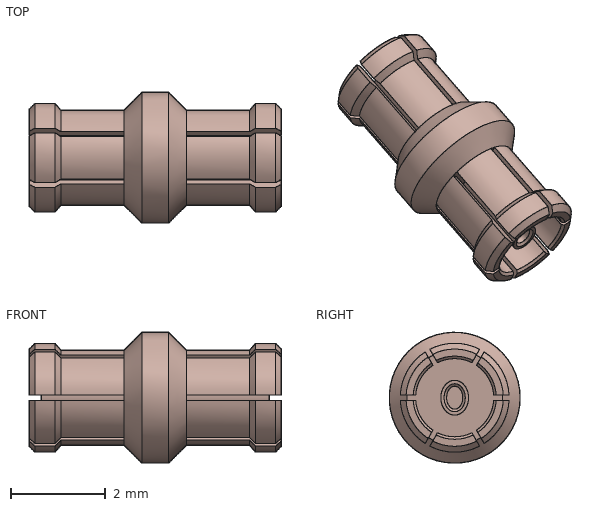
import cadquery as cq

total_length = 5.33
half_length = total_length / 2
collar_radius = 2.77 / 2
collar_half_width = 0.28

barrel_radius = 1.01
bore_radius = 0.825
bore_chamfer = 0.055
collar_root = collar_half_width + collar_radius - barrel_radius

head_radius = 1.15
head_length = 0.67
head_nose = 0.12
head_back = 0.13

slot_width = 0.11
finger_count = 6

pin_recess = 0.25
pin_width = 0.585
pin_height = 0.735
pin_hole_width = 0.34
pin_hole_height = 0.485
pin_hole_depth = 1.065
countersink = 0.055

socket_depth = half_length - collar_root
pin_tip = half_length - pin_recess


def make_body():
    """Revolve the solid outer profile about X."""
    right_half = [
        (collar_half_width, collar_radius),
        (collar_root, barrel_radius),
        (half_length - head_length, barrel_radius),
        (half_length - head_length + head_back, head_radius),
        (half_length - head_nose, head_radius),
        (half_length, head_radius - head_nose),
    ]
    left_half = [(-x, r) for x, r in reversed(right_half)]
    outline = [(-half_length, 0)] + left_half + right_half + [(half_length, 0)]
    return cq.Workplane("XY").polyline(outline).close().revolve(360, (0, 0, 0), (1, 0, 0))


def make_bore():
    """Blind bore of the +X socket with a chamfered mouth."""
    outline = [
        (collar_root, 0),
        (collar_root, bore_radius),
        (half_length - bore_chamfer, bore_radius),
        (half_length, bore_radius + bore_chamfer),
        (half_length, 0),
    ]
    return cq.Workplane("XY").polyline(outline).close().revolve(360, (0, 0, 0), (1, 0, 0))


def make_slots():
    """Slots of the +X socket; each one crosses the axis and cuts two opposite gaps."""
    blade = cq.Workplane("XY").box(socket_depth, 2 * collar_radius, slot_width)
    blade = blade.translate((collar_root + socket_depth / 2, 0, 0))
    slots = blade
    for i in range(1, finger_count // 2):
        slots = slots.union(blade.rotate((0, 0, 0), (1, 0, 0), i * 360 / finger_count))
    return slots


def make_pin():
    """Oval pin of the +X socket with a countersunk blind hole."""
    tip_plane = cq.Workplane("YZ", origin=(pin_tip, 0, 0))
    pin = (
        cq.Workplane("YZ")
        .ellipse(pin_width / 2, pin_height / 2)
        .extrude(pin_tip)
    )
    hole = tip_plane.ellipse(pin_hole_width / 2, pin_hole_height / 2).extrude(-pin_hole_depth)
    mouth = (
        tip_plane
        .ellipse(pin_hole_width / 2 + countersink, pin_hole_height / 2 + countersink)
        .workplane(offset=-countersink)
        .ellipse(pin_hole_width / 2, pin_hole_height / 2)
        .loft(ruled=True, combine=True)
    )
    return pin.cut(hole).cut(mouth)


def both_ends(shape):
    """Pair a +X end shape with its mirror image at the -X end."""
    return shape.union(shape.mirror("YZ"))


result = (
    make_body()
    .cut(both_ends(make_bore()))
    .cut(both_ends(make_slots()))
    .union(both_ends(make_pin()))
)